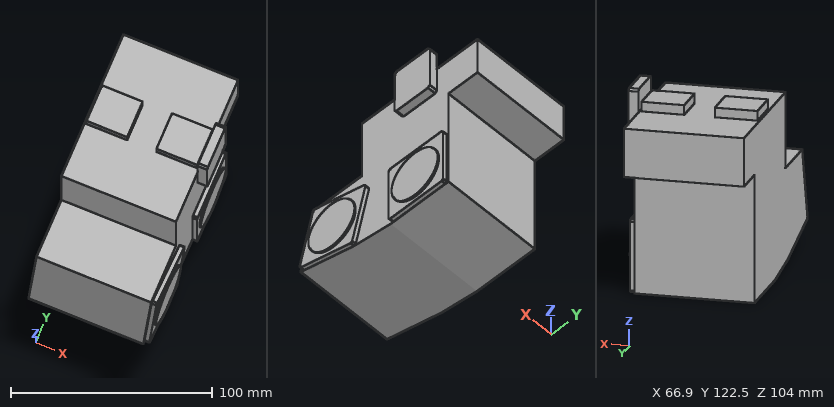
import cadquery as cq

body_width = 61.8
body_length = 122.5
body_height = 92.0
heel_y = 102.4
overhang_z = 66.7
step_y = 42.4
step_z = 52.4
nose_top_y = 10.3
nose_bottom_z = 13.5
nose_tilt = 15.0
belly_front_y = 37.7
belly_front_z = 3.4
belly_back_y = 62.3

pad_width = 21.9
pad_length = 20.1
pad_height = 5.0
pad_side_margin = 1.1
pad_center_y = 82.3

tab_thickness = 5.1
tab_length = 24.2
tab_bottom_z = 74.2
tab_top_z = 104.0
tab_chamfer = 1.2

plate_size = 37.7
plate_thickness = 2.6
plate_chamfer = 1.0
disc_diameter = 32.0
disc_height = 0.9
rear_plate_y = pad_center_y
rear_plate_z = plate_size / 2 + 0.1
front_plate_y = 24.6
front_plate_z = 26.3


def make_body():
    profile = [
        (body_length, body_height),
        (step_y, body_height),
        (step_y, step_z),
        (nose_top_y, step_z),
        (0, nose_bottom_z),
        (belly_front_y, belly_front_z),
        (belly_back_y, 0),
        (heel_y, 0),
        (heel_y, overhang_z),
        (body_length, overhang_z),
    ]
    return cq.Workplane("YZ").polyline(profile).close().extrude(body_width)


def make_pad(center_x):
    pad = cq.Workplane("XY").box(pad_width, pad_length, pad_height, centered=(True, True, False))
    return pad.translate((center_x, pad_center_y, body_height))


def make_side_plate(length, height, thickness, chamfer):
    """Plate standing on the YZ plane, centred on the origin, with chamfered corners."""
    plate = cq.Workplane("YZ").rect(length, height).extrude(thickness)
    return plate.edges("|X").chamfer(chamfer)


def make_disc_plate(center_y, center_z, tilt):
    plate = make_side_plate(plate_size, plate_size, plate_thickness, plate_chamfer)
    disc = cq.Workplane("YZ").circle(disc_diameter / 2).extrude(plate_thickness + disc_height)
    tilted = plate.union(disc).rotate((0, 0, 0), (1, 0, 0), tilt)
    return tilted.translate((body_width, center_y, center_z))


result = make_body()

pad_inset = pad_side_margin + pad_width / 2
for pad_x in (pad_inset, body_width - pad_inset):
    result = result.union(make_pad(pad_x))

tab = make_side_plate(tab_length, tab_top_z - tab_bottom_z, tab_thickness, tab_chamfer)
tab_center_z = (tab_top_z + tab_bottom_z) / 2
result = result.union(tab.translate((body_width, pad_center_y, tab_center_z)))

result = result.union(make_disc_plate(rear_plate_y, rear_plate_z, 0))
result = result.union(make_disc_plate(front_plate_y, front_plate_z, -nose_tilt))